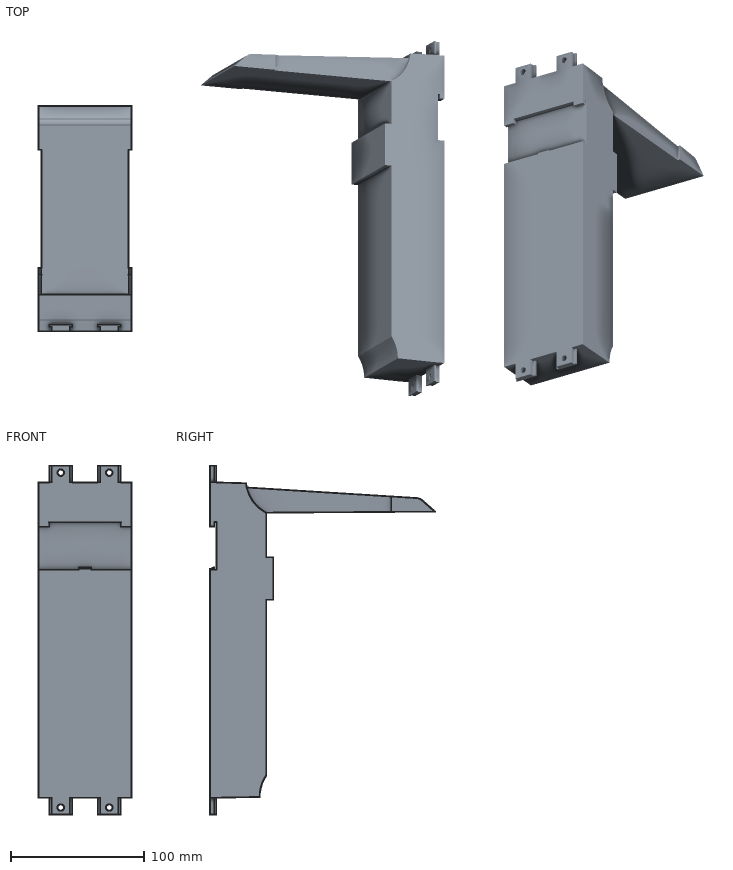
import cadquery as cq

total_height = 261.8
width = 70.0
reach = 169.2

tab_height = 12.5
body_top = total_height / 2 - tab_height
body_bottom = -body_top
body_depth = 42.5
top_depth = 27.2
level_depth = 8.6
end_taper = 0.5
hinge_drop = 22.8
hinge_radius = 28.3
foot_depth = 37.5
foot_hollow_height = 16.2

pad_bottom = 30.0
pad_height = 32.2
pad_thickness = 5.2

recess_bottom = 53.0
recess_height = 35.5
recess_depth = 5.0
lip_thickness = 3.5
lip_height = 3.5
lip_gap_width = 53.7

catch_width = 9.7
catch_depth = 3.1
catch_height = 1.8
catch_front_height = 0.8
catch_front_flat = 1.3

tab_pitch = 36.5
tab_width = 13.5
flange_width = 17.3
flange_thickness = recess_depth - lip_thickness
hole_diameter = 4.7
hole_to_tab_end = 5.2

cover_width = 65.5
cover_root_top = 114.7
cover_nose_top = 106.5
cover_root_bottom = body_top - hinge_drop
cover_tip = 96.4
cover_nose_length = 11.5
cover_nose_radius = 7.3
cover_head_length = 33.0


def extrude_across(outline, across):
    """Extrude a closed Y-Z outline symmetrically about X = 0."""
    return outline.extrude(across / 2, both=True)


def box(x_size, y_start, y_end, z_start, z_end, x_center=0.0):
    """Box centred on x_center, given by its Y and Z limits."""
    return cq.Workplane("XY").box(
        x_size, y_end - y_start, z_end - z_start, centered=(True, False, False)
    ).translate((x_center, y_start, z_start))


def upright_arc_radius(run, rise):
    """Radius of an arc covering run and rise that is vertical at one end."""
    return (run ** 2 + rise ** 2) / (2 * run)


def make_body():
    foot_radius = upright_arc_radius(body_depth - foot_depth, foot_hollow_height)
    foot_z = body_bottom + end_taper
    outline = (
        cq.Workplane("YZ")
        .moveTo(0, body_bottom)
        .lineTo(0, body_top)
        .lineTo(level_depth, body_top)
        .lineTo(top_depth, body_top - end_taper)
        .radiusArc((body_depth, body_top - hinge_drop), -hinge_radius)
        .lineTo(body_depth, foot_z + foot_hollow_height)
        .radiusArc((foot_depth, foot_z), -foot_radius)
        .lineTo(level_depth, body_bottom)
        .close()
    )
    pad = box(width, body_depth, body_depth + pad_thickness, pad_bottom, pad_bottom + pad_height)
    return extrude_across(outline, width).union(pad)


def make_rail_recess():
    recess_top = recess_bottom + recess_height
    lip_bottom = recess_top - lip_height
    channel = box(width, 0, recess_depth, recess_bottom, lip_bottom)
    behind_lips = box(width, lip_thickness, recess_depth, lip_bottom, recess_top)
    between_lips = box(lip_gap_width, 0, recess_depth, lip_bottom, recess_top)
    return channel.union(behind_lips).union(between_lips)


def make_catch():
    outline = cq.Workplane("YZ").polyline([
        (0, recess_bottom),
        (0, recess_bottom + catch_front_height),
        (catch_front_flat, recess_bottom + catch_front_height),
        (catch_depth, recess_bottom + catch_height),
        (catch_depth, recess_bottom),
    ]).close()
    return extrude_across(outline, catch_width)


def make_upper_tab(x_center):
    tab_top = body_top + tab_height
    root = body_top - tab_height
    plate = box(tab_width, 0, recess_depth, root, tab_top, x_center)
    flange = box(flange_width, recess_depth - flange_thickness, recess_depth, root, tab_top, x_center)
    hole = (
        cq.Workplane("XZ")
        .center(x_center, tab_top - hole_to_tab_end)
        .circle(hole_diameter / 2)
        .extrude(-recess_depth)
    )
    return plate.union(flange).cut(hole)


def make_cover():
    outline = (
        cq.Workplane("YZ")
        .moveTo(top_depth, cover_root_bottom)
        .lineTo(top_depth, cover_root_top)
        .lineTo(reach - cover_nose_length, cover_nose_top)
        .lineTo(reach, cover_tip)
        .lineTo(body_depth, cover_root_bottom)
        .close()
    )
    nose_edge = cq.selectors.NearestToPointSelector((0, reach - cover_nose_length, cover_nose_top))
    cover = extrude_across(outline, width).edges(nose_edge).fillet(cover_nose_radius)
    head_start = reach - cover_head_length
    head = box(width, head_start, reach, 0, total_height / 2)
    arm = box(cover_width, 0, head_start, 0, total_height / 2)
    return cover.intersect(head.union(arm))


result = make_body().cut(make_rail_recess()).union(make_catch()).union(make_cover())

for x_center in (-tab_pitch / 2, tab_pitch / 2):
    upper_tab = make_upper_tab(x_center)
    result = result.union(upper_tab).union(upper_tab.mirror("XY"))